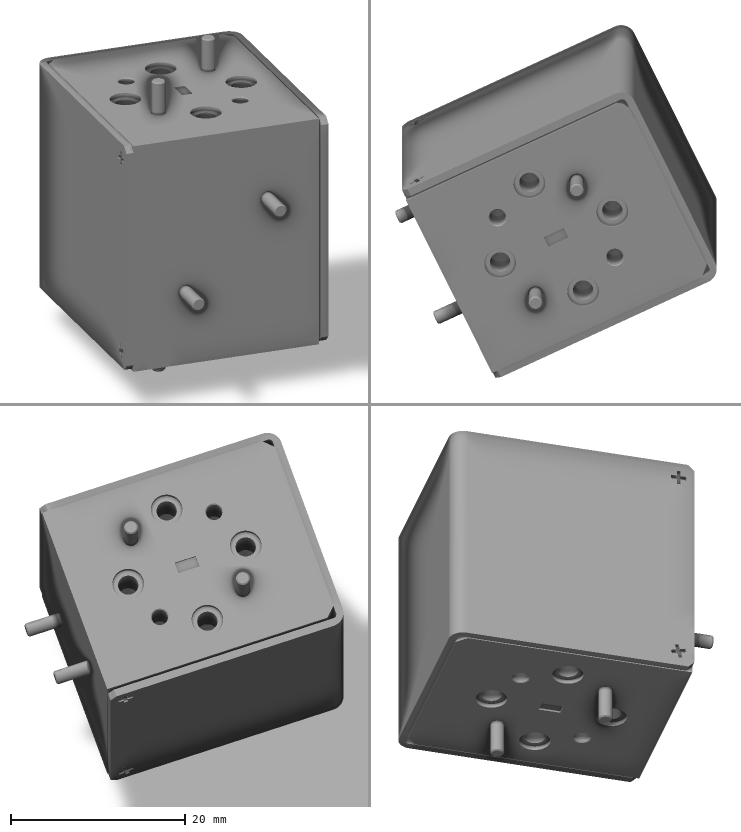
import cadquery as cq
import math


BLOCK_HEIGHT = 28.0
BLOCK_LEFT = -14.25
BLOCK_RIGHT = 13.65
BLOCK_FRONT = -11.45
BLOCK_BACK = 11.4
BLOCK_CHAMFER = 1.15
BLOCK_TOP = BLOCK_HEIGHT / 2

MOUTH_WIDTH = 2.55
MOUTH_HEIGHT = 1.33
MOUTH_DEPTH = 0.2
SPLIT_Y = MOUTH_HEIGHT / 2

BOLT_CIRCLE_RADIUS = 7.15
DIAGONAL_OFFSET = BOLT_CIRCLE_RADIUS / math.sqrt(2)
PORT_HOLE_DIAMETER = 2.35
PORT_HOLE_DEPTH = 4.65
COUNTERBORE_DIAMETER = 3.62
COUNTERBORE_DEPTH = 0.5
DRILL_TIP_ANGLE = 118.0

PIN_DIAMETER = 1.58
PIN_CHAMFER = 0.15
PIN_PROTRUSION = 3.95
SIDE_PIN_PROTRUSION = 4.13
PIN_SEAT_DEPTH = 3.95
PIN_SEAT_CHAMFER = 0.1
DOWEL_HOLE_DIAMETER = 1.85
DOWEL_HOLE_DEPTH = 3.95
DOWEL_HOLE_CHAMFER = 0.1

COVER_HEIGHT = 27.77
COVER_WALL = 0.9
COVER_GAP = 0.25
COVER_RADIUS = 1.7
COVER_INNER_RADIUS = 0.5
COVER_CORNER_CHAMFER = 0.7
COVER_LEFT = BLOCK_LEFT - COVER_WALL
COVER_FRONT = BLOCK_FRONT - COVER_WALL
COVER_INNER_BACK = BLOCK_BACK + COVER_GAP
COVER_BACK = COVER_INNER_BACK + COVER_WALL

SCREW_X = BLOCK_RIGHT - 1.85
SCREW_Z = 11.95
SCREW_HEAD_DIAMETER = 2.98
SCREW_SHANK_DIAMETER = 1.6
SCREW_HEAD_HEIGHT = (SCREW_HEAD_DIAMETER - SCREW_SHANK_DIAMETER) / 2
CROSS_LENGTH = 1.8
CROSS_WIDTH = 0.45
CROSS_DEPTH = 0.5
LOWER_CROSS_ANGLE = 15.0


def box(x_min, x_max, y_min, y_max, z_min, z_max):
    """Box given by its limits along each axis."""
    size = (x_max - x_min, y_max - y_min, z_max - z_min)
    return cq.Workplane("XY").box(*size, centered=False).translate((x_min, y_min, z_min))


def drill(diameter, depth):
    """Cutter for a blind hole from Z = 0 down, with a conical bottom."""
    radius = diameter / 2
    tip = radius / math.tan(math.radians(DRILL_TIP_ANGLE / 2))
    profile = [(0, 0), (radius, 0), (radius, -depth), (0, -depth - tip)]
    return cq.Workplane("XZ").polyline(profile).close().revolve(360, (0, 0), (0, 1))


def countersink(bore_diameter, chamfer):
    """Cutter that chamfers the mouth of a hole at Z = 0."""
    radius = bore_diameter / 2
    profile = [(0, 0), (radius + chamfer, 0), (radius, -chamfer), (0, -chamfer)]
    return cq.Workplane("XZ").polyline(profile).close().revolve(360, (0, 0), (0, 1))


def port_hole():
    """Cutter for one counterbored screw hole of a port."""
    counterbore = cq.Workplane("XY").circle(COUNTERBORE_DIAMETER / 2).extrude(-COUNTERBORE_DEPTH)
    return drill(PORT_HOLE_DIAMETER, PORT_HOLE_DEPTH).union(counterbore)


def dowel_hole():
    """Cutter for one empty dowel hole."""
    return drill(DOWEL_HOLE_DIAMETER, DOWEL_HOLE_DEPTH).union(
        countersink(DOWEL_HOLE_DIAMETER, DOWEL_HOLE_CHAMFER)
    )


def pin_seat():
    """Cutter for the hole that holds one dowel pin."""
    seat = cq.Workplane("XY").circle(PIN_DIAMETER / 2).extrude(-PIN_SEAT_DEPTH)
    return seat.union(countersink(PIN_DIAMETER, PIN_SEAT_CHAMFER))


def dowel_pin(protrusion):
    """Pin along Z, seated below Z = 0, chamfered at its free end."""
    return (
        cq.Workplane("XY", origin=(0, 0, -PIN_SEAT_DEPTH))
        .circle(PIN_DIAMETER / 2)
        .extrude(PIN_SEAT_DEPTH + protrusion)
        .faces(">Z")
        .chamfer(PIN_CHAMFER)
    )


def on_top(shape, x, y):
    """Move a shape from the origin to a place on the top face."""
    return shape.translate((x, y, BLOCK_TOP))


def on_right(shape, y, z):
    """Turn a shape so that its +Z axis leaves the right face, and move it there."""
    return shape.rotate((0, 0, 0), (0, 1, 0), 90).translate((BLOCK_RIGHT, y, z))


def to_bottom(shape):
    """Mirror a shape from the top face to the bottom face."""
    return shape.mirror("XY")


def top_port_cutters():
    """Everything that is cut from the top face of the block."""
    cutters = []
    for x, y in [(1, 0), (0, 1), (-1, 0), (0, -1)]:
        cutters.append(on_top(port_hole(), x * BOLT_CIRCLE_RADIUS, y * BOLT_CIRCLE_RADIUS))
    for side in (-1, 1):
        offset = side * DIAGONAL_OFFSET
        cutters.append(on_top(dowel_hole(), offset, offset))
        cutters.append(on_top(pin_seat(), offset, -offset))
    cutters.append(
        box(
            -MOUTH_WIDTH / 2, MOUTH_WIDTH / 2, SPLIT_Y - MOUTH_HEIGHT, SPLIT_Y,
            BLOCK_TOP - MOUTH_DEPTH, BLOCK_TOP,
        )
    )
    return cutters


def whole_block():
    """Both block halves together, with all holes of the ports."""
    block = box(BLOCK_LEFT, BLOCK_RIGHT, BLOCK_FRONT, BLOCK_BACK, -BLOCK_TOP, BLOCK_TOP)
    block = block.edges("|Z and <X").chamfer(BLOCK_CHAMFER)
    for cutter in top_port_cutters():
        block = block.cut(cutter).cut(to_bottom(cutter))
    for side in (-1, 1):
        block = block.cut(on_right(pin_seat(), side * DIAGONAL_OFFSET, side * DIAGONAL_OFFSET))
    return block


def screw_blank(length):
    """Countersunk screw along -Z without a cross recess, top of its head at Z = 0."""
    head = SCREW_HEAD_DIAMETER / 2
    shank = SCREW_SHANK_DIAMETER / 2
    profile = [(0, 0), (head, 0), (shank, -SCREW_HEAD_HEIGHT), (shank, -length), (0, -length)]
    return cq.Workplane("XZ").polyline(profile).close().revolve(360, (0, 0), (0, 1))


def screw(length, cross_angle):
    """Countersunk screw along -Z with a cross recess turned by cross_angle."""
    recess = cq.Workplane("XY").rect(CROSS_LENGTH, CROSS_WIDTH).extrude(-CROSS_DEPTH)
    recess = recess.union(recess.rotate((0, 0, 0), (0, 0, 1), 90))
    return screw_blank(length).cut(recess.rotate((0, 0, 0), (0, 0, 1), cross_angle))


def on_front(shape, z):
    """Turn a shape so that its +Z axis leaves the front of the cover at a screw place."""
    return shape.rotate((0, 0, 0), (1, 0, 0), 90).translate((SCREW_X, COVER_FRONT, z))


def on_back(shape, z):
    """Turn a shape so that its +Z axis leaves the back of the cover at a screw place."""
    return shape.rotate((0, 0, 0), (1, 0, 0), -90).translate((SCREW_X, COVER_BACK, z))


def block_half(block, y_min, y_max, place_screw, screw_length):
    """Part of the block between two Y limits, with its two cover screws."""
    half = block.intersect(box(BLOCK_LEFT, BLOCK_RIGHT, y_min, y_max, -BLOCK_TOP, BLOCK_TOP))
    for z, angle in [(SCREW_Z, 0), (-SCREW_Z, LOWER_CROSS_ANGLE)]:
        half = half.union(place_screw(screw(screw_length, angle), z))
    return half


def build_cover():
    """U-shaped sheet around the left, front and back, with countersunk screw holes."""
    z_min, z_max = -COVER_HEIGHT / 2, COVER_HEIGHT / 2
    outside = box(COVER_LEFT, BLOCK_RIGHT, COVER_FRONT, COVER_BACK, z_min, z_max)
    outside = outside.edges("|Z and <X").fillet(COVER_RADIUS)
    inside = box(BLOCK_LEFT, BLOCK_RIGHT, BLOCK_FRONT, COVER_INNER_BACK, z_min, z_max)
    inside = inside.edges("|Z and <X").fillet(COVER_INNER_RADIUS)
    cover = outside.cut(inside).edges("|Y and >X").chamfer(COVER_CORNER_CHAMFER)
    hole = screw_blank(COVER_WALL)
    for z in (-SCREW_Z, SCREW_Z):
        cover = cover.cut(on_front(hole, z)).cut(on_back(hole, z))
    return cover


def build_pins():
    """Two dowel pins on each of the top, bottom and right faces."""
    pins = []
    for side in (-1, 1):
        offset = side * DIAGONAL_OFFSET
        top_pin = on_top(dowel_pin(PIN_PROTRUSION), offset, -offset)
        side_pin = on_right(dowel_pin(SIDE_PIN_PROTRUSION), offset, offset)
        pins += [top_pin, to_bottom(top_pin), side_pin]
    return pins


block = whole_block()
front_half = block_half(block, BLOCK_FRONT, SPLIT_Y, on_front, COVER_WALL)
back_half = block_half(block, SPLIT_Y, BLOCK_BACK, on_back, COVER_WALL + COVER_GAP)
cover = build_cover()
pins = build_pins()

result = cq.Compound.makeCompound(
    [front_half.val(), back_half.val(), cover.val(), *[pin.val() for pin in pins]]
)